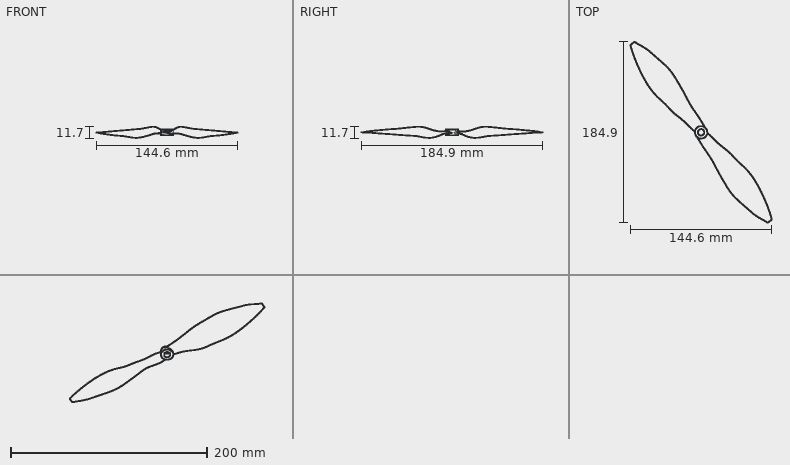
import cadquery as cq

HUB_DIAMETER = 12.8
BORE_DIAMETER = 6.3
HUB_HEIGHT = 6.3

BLADE_COUNT = 2
BLADE_ANGLE = 128.0

BLADE_SECTIONS = [
    (1.8, -6.5, 0.4, 5.5, -0.2, 2.8),
    (7.4, -7.0, 0.7, 5.2, -0.5, 2.5),
    (14.8, -7.8, 1.3, 6.3, -1.3, 2.0),
    (22.2, -8.1, 3.3, 7.4, -3.3, 1.8),
    (29.5, -8.9, 5.4, 9.2, -5.0, 1.7),
    (37.0, -10.2, 6.0, 10.5, -5.7, 1.5),
    (48.0, -12.0, 5.0, 11.6, -4.8, 1.5),
    (59.1, -13.5, 3.9, 13.3, -3.7, 1.3),
    (70.2, -14.0, 3.3, 13.3, -3.1, 1.1),
    (81.3, -12.5, 2.5, 11.8, -2.4, 1.0),
    (92.5, -10.5, 1.8, 9.5, -1.7, 0.7),
    (103.5, -7.8, 1.1, 6.3, -1.0, 0.5),
    (114.6, -3.5, 0.2, 2.2, -0.2, 0.4),
]


def make_hub_cylinder():
    """Outer shape of the hub, centred on the origin."""
    return cq.Workplane("XY").circle(HUB_DIAMETER / 2).extrude(HUB_HEIGHT / 2, both=True)


def make_hub():
    """Hub with a through bore."""
    return make_hub_cylinder().faces(">Z").workplane().hole(BORE_DIAMETER)


def make_section(radius, high_side, high_z, low_side, low_z, thickness):
    """Lens-shaped wire across a blade that runs along +X."""
    high_edge = cq.Vector(radius, high_side, high_z)
    low_edge = cq.Vector(radius, low_side, low_z)
    middle = (high_edge + low_edge) * 0.5
    chord = (low_edge - high_edge).normalized()
    bulge = cq.Vector(1, 0, 0).cross(chord) * (thickness / 2)
    upper_face = cq.Edge.makeThreePointArc(high_edge, middle + bulge, low_edge)
    lower_face = cq.Edge.makeThreePointArc(low_edge, middle - bulge, high_edge)
    return cq.Wire.assembleEdges([upper_face, lower_face])


def make_blade(angle):
    """Twisted blade, its root trimmed to fit around the hub."""
    sections = [make_section(*row) for row in BLADE_SECTIONS]
    blade = cq.Workplane(cq.Solid.makeLoft(sections))
    return blade.cut(make_hub_cylinder()).rotate((0, 0, 0), (0, 0, 1), angle)


hub = make_hub()
blades = [make_blade(BLADE_ANGLE + i * 360 / BLADE_COUNT) for i in range(BLADE_COUNT)]

result = cq.Compound.makeCompound([hub.val(), *[blade.val() for blade in blades]])